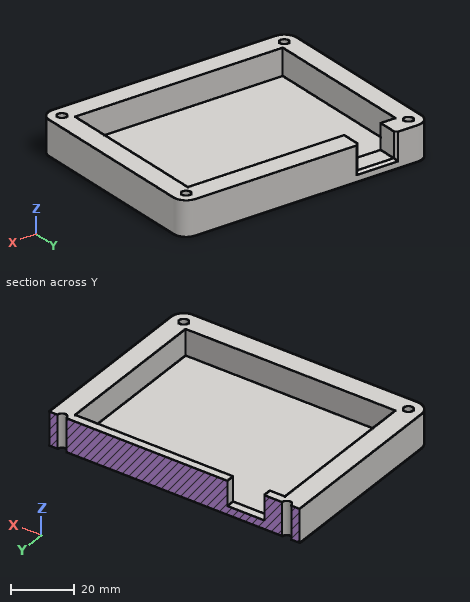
import cadquery as cq

LENGTH = 96.74
WIDTH = 76.45
HEIGHT = 13.0
CORNER_RADIUS = 5.0

SCREW_HOLE_DIAMETER = 3.4

POCKET_LENGTH = 81.0
POCKET_WIDTH = 60.3
POCKET_DEPTH = 10.0

NOTCH_WIDTH = 14.2
NOTCH_CENTER_X = -27.6
NOTCH_DEPTH = 9.5
FLARE = 1.0


def make_body():
    block = cq.Workplane("XY").box(LENGTH, WIDTH, HEIGHT, centered=(True, True, False))
    return block.edges("|Z").fillet(CORNER_RADIUS)


def make_pocket():
    floor = cq.Workplane("XY").workplane(offset=HEIGHT - POCKET_DEPTH)
    return floor.rect(POCKET_LENGTH, POCKET_WIDTH).extrude(POCKET_DEPTH)


def notch_section(y, spread):
    """Notch profile in the plane at y, widened by spread on its sides, floor and top."""
    plane = cq.Workplane("XZ", origin=(NOTCH_CENTER_X, y, HEIGHT - NOTCH_DEPTH / 2))
    return plane.rect(NOTCH_WIDTH + 2 * spread, NOTCH_DEPTH + 2 * spread)


def make_notch():
    outer_y = WIDTH / 2
    passage = notch_section(outer_y, 0).extrude(outer_y)
    mouth = (
        notch_section(outer_y, FLARE)
        .workplane(offset=FLARE)
        .rect(NOTCH_WIDTH, NOTCH_DEPTH)
        .loft(ruled=True)
    )
    return passage.union(mouth)


def make_screw_holes():
    spacing_x = LENGTH - 2 * CORNER_RADIUS
    spacing_y = WIDTH - 2 * CORNER_RADIUS
    centers = cq.Workplane("XY").rect(spacing_x, spacing_y, forConstruction=True).vertices()
    return centers.circle(SCREW_HOLE_DIAMETER / 2).extrude(HEIGHT)


result = make_body().cut(make_pocket()).cut(make_notch()).cut(make_screw_holes())